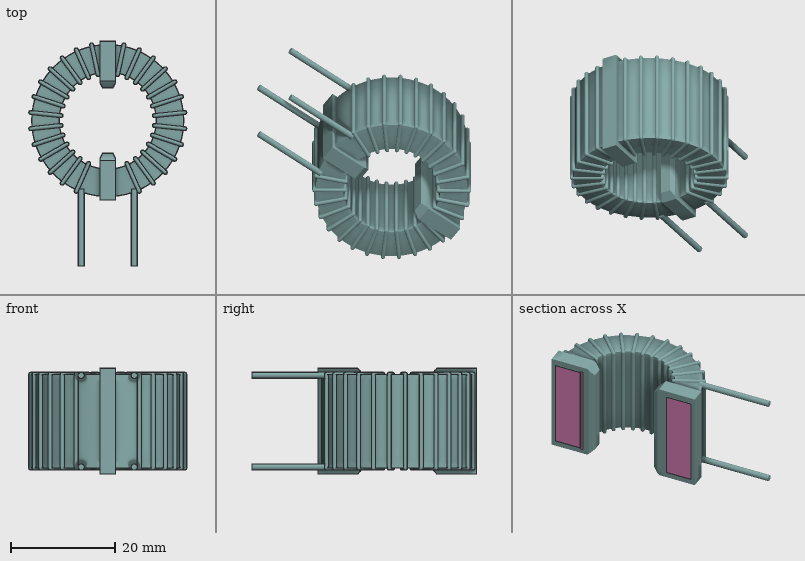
import cadquery as cq

core_outer_radius = 14.6
core_inner_radius = 9.3
core_height = 18.0

wire_radius = 0.4
loop_outer_radius = 14.85
loop_inner_radius = 9.02
loop_half_height = core_height / 2
turn_pitch = 12.0
turns_per_side = 13
first_turn_angle = -66.0

lead_radius = 0.6
lead_x = 5.1
lead_z = 8.8
lead_start_y = -13.13
lead_end_y = -27.95

bar_width = 3.02
bar_height = 20.35
bar_outer_y = 15.25
bar_inner_y = 6.25
bar_chamfer = 1.4
bar_corner_run = 1.0
bar_corner_inset = 0.5


def make_core():
    return (
        cq.Workplane("XY")
        .circle(core_outer_radius)
        .circle(core_inner_radius)
        .extrude(core_height / 2, both=True)
    )


def make_turn():
    """One wire loop in the XZ plane: four round rods joined by ball corners."""
    corners = [
        cq.Vector(loop_inner_radius, 0, -loop_half_height),
        cq.Vector(loop_outer_radius, 0, -loop_half_height),
        cq.Vector(loop_outer_radius, 0, loop_half_height),
        cq.Vector(loop_inner_radius, 0, loop_half_height),
    ]
    turn = cq.Workplane("XY")
    for start, end in zip(corners, corners[1:] + corners[:1]):
        span = end - start
        rod = cq.Solid.makeCylinder(wire_radius, span.Length, start, span)
        ball = cq.Workplane("XY").sphere(wire_radius).translate(start)
        turn = turn.add(rod).add(ball)
    return turn.combine()


def make_bar():
    """The +Y separator bar, bevelled on its inner end."""
    half_width = bar_width / 2
    half_height = bar_height / 2
    side_profile = [
        (bar_outer_y, -half_height),
        (bar_outer_y, half_height),
        (bar_inner_y + bar_chamfer, half_height),
        (bar_inner_y, half_height - bar_chamfer),
        (bar_inner_y, bar_chamfer - half_height),
        (bar_inner_y + bar_chamfer, -half_height),
    ]
    plan_profile = [
        (-half_width, bar_outer_y),
        (half_width, bar_outer_y),
        (half_width, bar_inner_y + bar_corner_run),
        (half_width - bar_corner_inset, bar_inner_y),
        (bar_corner_inset - half_width, bar_inner_y),
        (-half_width, bar_inner_y + bar_corner_run),
    ]
    side = cq.Workplane("YZ").polyline(side_profile).close().extrude(half_width, both=True)
    plan = cq.Workplane("XY").polyline(plan_profile).close().extrude(half_height, both=True)
    return side.intersect(plan)


def make_leads():
    return (
        cq.Workplane("XZ", origin=(0, lead_start_y, 0))
        .rect(2 * lead_x, 2 * lead_z, forConstruction=True)
        .vertices()
        .circle(lead_radius)
        .extrude(lead_start_y - lead_end_y)
    )


result = make_core()

turn = make_turn()
for index in range(turns_per_side):
    angle = first_turn_angle + index * turn_pitch
    for turn_angle in (angle, 180 - angle):
        result = result.union(turn.rotate((0, 0, 0), (0, 0, 1), turn_angle))

bar = make_bar()
result = result.union(bar).union(bar.mirror("XZ")).union(make_leads())